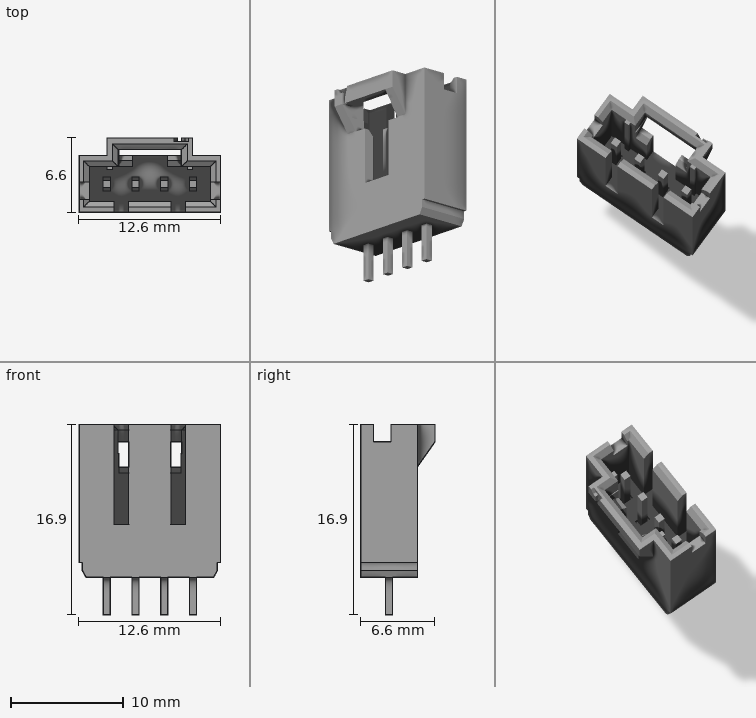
import cadquery as cq

total_height = 16.89
width = 12.57
depth = 5.05
body_bottom = 3.33
floor_z = 8.0
back_y = depth / 2
front_y = -depth / 2

key_depth = 1.55
key_half_width = 3.8
key_plate_height = 1.54
key_cheek_height = 3.75
key_y = back_y + key_depth

rim_side = 0.4
rim_front_back = 0.47
rim_key_side = 0.47
rim_key_back = 0.52
lead_in = 0.5
side_wall = rim_side + lead_in
wall = rim_front_back + lead_in
key_inner_half = key_half_width - rim_key_side - lead_in

window_step_z = 14.3
window_half_width = 2.75
sill_z = 13.1
sill_bevel = 0.52
gap_half_width = 1.55

slot_inner = 1.87
slot_outer = 3.15
notch_back_y = 0.15
notch_front_y = -1.37
notch_depth = 1.52
rib_protrusion = 0.29
rib_width = 0.47

foot_step = 0.29
foot_height = 1.32
foot_bevel_width = 0.34
foot_bevel_height = 0.6

pin_count = 4
pin_pitch = 2.55
pin_size = 0.65
pin_top = 13.51
recess_length = 1.22
recess_depth = 0.5

mark_left = 2.15
mark_unit = 0.32
mark_shelf_drop = 0.47
mark_stem_drop = 1.01
mark_depth = 0.3


def box(x0, x1, y0, y1, z0, z1):
    """Block between two opposite corners."""
    return cq.Workplane("XY").box(x1 - x0, y1 - y0, z1 - z0, centered=False).translate((x0, y0, z0))


def frustum(lower, upper, z0, z1):
    """Block tapering between two rectangles given as (x0, x1, y0, y1)."""
    def outline(work, rect):
        x0, x1, y0, y1 = rect
        return work.polyline([(x0, y0), (x1, y0), (x1, y1), (x0, y1)]).close()

    bottom = outline(cq.Workplane("XY").workplane(offset=z0), lower)
    return outline(bottom.workplane(offset=z1 - z0), upper).loft(ruled=True, combine=True)


def mouth(half_x, y0, y1):
    """Straight opening with a lead-in bevel, from the floor to the top."""
    straight = (-half_x, half_x, y0, y1)
    wide = (-half_x - lead_in, half_x + lead_in, y0 - lead_in, y1 + lead_in)
    return box(*straight, floor_z, total_height).union(
        frustum(straight, wide, total_height - lead_in, total_height)
    )


def housing():
    """Solid outline with the stepped foot and the sloping key box."""
    half = width / 2
    foot = half - foot_step
    right_side = [
        (foot - foot_bevel_width, body_bottom),
        (foot, body_bottom + foot_bevel_height),
        (foot, body_bottom + foot_height),
        (half, body_bottom + foot_height),
        (half, total_height),
    ]
    left_side = [(-x, z) for x, z in reversed(right_side)]
    body = cq.Workplane("XZ", origin=(0, back_y, 0)).polyline(right_side + left_side).close().extrude(depth)
    key_profile = [
        (0, total_height),
        (key_y, total_height),
        (key_y, total_height - key_plate_height),
        (back_y, total_height - key_cheek_height),
        (0, total_height - key_cheek_height),
    ]
    key = cq.Workplane("YZ").polyline(key_profile).close().extrude(key_half_width, both=True)
    return body.union(key)


def cavity():
    """T-shaped mouth made of the main pocket and the key pocket."""
    main = mouth(width / 2 - side_wall, front_y + wall, back_y - wall)
    key_back = key_y - rim_key_back - lead_in
    key_bevel = mouth(key_inner_half, 0, key_back).intersect(
        box(-width, width, 0, key_y, window_step_z, total_height)
    )
    upper_window = box(-key_inner_half, key_inner_half, 0, key_y, window_step_z, total_height - key_plate_height)
    lower_window = box(-window_half_width, window_half_width, 0, key_y, sill_z, window_step_z)
    gap = box(-gap_half_width, gap_half_width, 0, key_y, floor_z, sill_z)
    inner_y = back_y - wall
    bevel_profile = [(inner_y, sill_z), (inner_y + sill_bevel, sill_z), (inner_y, sill_z - sill_bevel)]
    bevel = cq.Workplane("YZ").polyline(bevel_profile).close().extrude(window_half_width, both=True)
    return main.union(key_bevel).union(upper_window).union(lower_window).union(gap).union(bevel)


def front_slot(side):
    """Slot through the front wall, left (-1) or right (+1) of the middle."""
    x0, x1 = sorted((side * slot_inner, side * slot_outer))
    return box(x0, x1, front_y, front_y + wall, floor_z, total_height)


def guide_rib(side):
    """Upright rib on the inner back wall beside the window."""
    x0, x1 = sorted((side * key_half_width, side * (key_half_width - rib_width)))
    inner_y = back_y - wall
    return box(x0, x1, inner_y - rib_protrusion, inner_y, floor_z, total_height - lead_in)


def pin_mark():
    """Stepped recess that is open at the top and bottom of the key plate."""
    plate_bottom = total_height - key_plate_height
    shelf_z = total_height - mark_shelf_drop
    stem_left = mark_left + mark_unit
    stem_right = stem_left + mark_unit
    profile = [
        (mark_left, total_height),
        (stem_left, total_height - mark_stem_drop),
        (stem_left, plate_bottom),
        (stem_right, plate_bottom),
        (stem_right, shelf_z),
        (stem_right + mark_unit, shelf_z),
        (stem_right + 2 * mark_unit, total_height),
    ]
    return cq.Workplane("XZ", origin=(0, key_y, 0)).polyline(profile).close().extrude(mark_depth)


result = housing().cut(cavity()).cut(pin_mark())
result = result.cut(box(-width, width, notch_front_y, notch_back_y, total_height - notch_depth, total_height))

for side in (-1, 1):
    result = result.cut(front_slot(side)).union(guide_rib(side))

half_pin = pin_size / 2
for index in range(pin_count):
    pin_x = (index - (pin_count - 1) / 2) * pin_pitch
    x0 = pin_x - half_pin
    x1 = pin_x + half_pin
    recess = box(x0, x1, -recess_length / 2, recess_length / 2, floor_z - recess_depth, floor_z)
    pin = box(x0, x1, -half_pin, half_pin, 0, pin_top)
    result = result.cut(recess).union(pin)